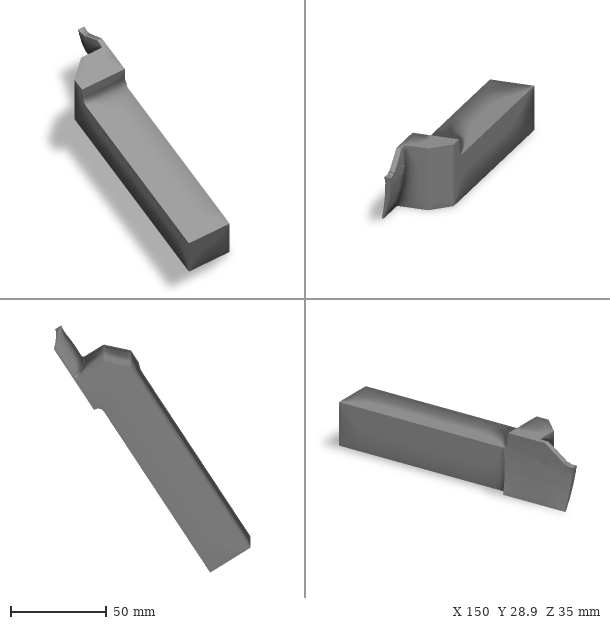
import cadquery as cq
import math

LENGTH = 150.0
HEAD_HEIGHT = 35.0
SHANK_SIDE = 25.0
CUTTING_HEIGHT = SHANK_SIDE

SHOULDER_X = 23.0
CORNER_CHAMFER = 10.4
HEAD_TOP_END_X = 41.1
HEAD_BASE_END_X = 42.6
HEAD_ROOT_RADIUS = 3.8
HEAD_FOOT_END_X = HEAD_BASE_END_X + HEAD_ROOT_RADIUS

BLADE_FRONT_Y = 22.6
BLADE_BACK_Y = 25.8
BLADE_FRONT_RADIUS = 62.4
BLADE_BACK_RADIUS = 101.1
BLADE_ROOT_RADIUS = 1.0
BLADE_BOTTOM_X = 3.3
BLADE_SEAT_X = 0.6
CLAMP_NOSE_X = 6.0
CLAMP_NOSE_Z = 26.1
CLAMP_TOP_X = 17.7

INSERT_BOTTOM_Z = 20.8
INSERT_TOP_END_X = 20.0
INSERT_BOTTOM_END_X = 19.2
INSERT_WAIST_Z = 25.8
EDGE_LAND = 3.5
EDGE_RAMP = 0.9
TIP_LENGTH = 3.9
TIP_OVERHANG = 0.5
TIP_BOTTOM_Z = 22.0


def arc_y(face_y, radius, z):
    """Y of a blade face at height z."""
    return face_y + radius - math.sqrt(radius ** 2 - (z - CUTTING_HEIGHT) ** 2)


def arc_point(face_y, radius, z):
    return (arc_y(face_y, radius, z), z)


def front_point(z):
    return arc_point(BLADE_FRONT_Y, BLADE_FRONT_RADIUS, z)


def back_point(z):
    return arc_point(BLADE_BACK_Y, BLADE_BACK_RADIUS, z)


def make_shank():
    start_x = HEAD_TOP_END_X
    shank = cq.Workplane("XY").box(LENGTH - start_x, SHANK_SIDE, SHANK_SIDE, centered=False)
    return shank.translate((start_x, 0, 0))


def make_head():
    """Chamfered block with a concave back, rounded into the shank above and behind."""
    section = (
        cq.Workplane("YZ")
        .moveTo(0, 0)
        .lineTo(*back_point(0))
        .threePointArc(back_point(HEAD_HEIGHT / 2), back_point(HEAD_HEIGHT))
        .lineTo(0, HEAD_HEIGHT)
        .close()
        .extrude(HEAD_FOOT_END_X)
    )
    side_outline = (
        cq.Workplane("XZ")
        .polyline([
            (SHOULDER_X, 0),
            (HEAD_FOOT_END_X, 0),
            (HEAD_FOOT_END_X, SHANK_SIDE),
            (HEAD_BASE_END_X, SHANK_SIDE),
            (HEAD_TOP_END_X, HEAD_HEIGHT),
            (SHOULDER_X, HEAD_HEIGHT),
        ])
        .close()
        .extrude(-LENGTH)
    )
    inner_corner = cq.selectors.NearestToPointSelector((HEAD_BASE_END_X, LENGTH / 2, SHANK_SIDE))
    side_outline = side_outline.edges("|Y").edges(inner_corner).fillet(HEAD_ROOT_RADIUS)
    plan_outline = (
        cq.Workplane("XY")
        .moveTo(SHOULDER_X + CORNER_CHAMFER, 0)
        .lineTo(HEAD_FOOT_END_X, 0)
        .lineTo(HEAD_FOOT_END_X, SHANK_SIDE)
        .radiusArc((HEAD_BASE_END_X, SHANK_SIDE + HEAD_ROOT_RADIUS), HEAD_ROOT_RADIUS)
        .lineTo(HEAD_BASE_END_X, LENGTH)
        .lineTo(SHOULDER_X, LENGTH)
        .lineTo(SHOULDER_X, CORNER_CHAMFER)
        .close()
        .extrude(HEAD_HEIGHT)
    )
    return section.intersect(side_outline).intersect(plan_outline)


def make_blade():
    """Thin curved blade, sloped at its front end and above the insert."""
    section = (
        cq.Workplane("YZ")
        .moveTo(*front_point(0))
        .lineTo(*back_point(0))
        .threePointArc(back_point(HEAD_HEIGHT / 2), back_point(HEAD_HEIGHT))
        .lineTo(*front_point(HEAD_HEIGHT))
        .threePointArc(front_point(HEAD_HEIGHT / 2), front_point(0))
        .close()
        .extrude(SHOULDER_X)
    )
    side_outline = (
        cq.Workplane("XZ")
        .polyline([
            (BLADE_BOTTOM_X, 0),
            (SHOULDER_X, 0),
            (SHOULDER_X, HEAD_HEIGHT),
            (CLAMP_TOP_X, HEAD_HEIGHT),
            (CLAMP_NOSE_X, CLAMP_NOSE_Z),
            (CLAMP_NOSE_X, INSERT_BOTTOM_Z),
            (BLADE_SEAT_X, INSERT_BOTTOM_Z),
        ])
        .close()
        .extrude(-LENGTH)
    )
    return section.intersect(side_outline)


def round_blade_root(body):
    """Round the front of the blade into the shoulder."""
    margin = 0.2
    blade_root = cq.selectors.BoxSelector(
        (SHOULDER_X - margin, BLADE_FRONT_Y - margin, -margin),
        (SHOULDER_X + margin, BLADE_BACK_Y, HEAD_HEIGHT + margin),
    )
    return body.edges(blade_root).fillet(BLADE_ROOT_RADIUS)


def make_insert_waist():
    waist_start = EDGE_LAND + EDGE_RAMP
    return (
        cq.Workplane("XZ", origin=(0, BLADE_FRONT_Y, 0))
        .polyline([
            (0, CUTTING_HEIGHT),
            (EDGE_LAND, CUTTING_HEIGHT),
            (waist_start, INSERT_WAIST_Z),
            (INSERT_TOP_END_X - waist_start, INSERT_WAIST_Z),
            (INSERT_TOP_END_X - EDGE_LAND, CUTTING_HEIGHT),
            (INSERT_TOP_END_X, CUTTING_HEIGHT),
            (INSERT_BOTTOM_END_X, INSERT_BOTTOM_Z),
            (BLADE_SEAT_X, INSERT_BOTTOM_Z),
        ])
        .close()
        .extrude(BLADE_FRONT_Y - BLADE_BACK_Y)
    )


def make_insert_tip(edge_x, inward):
    """Tip wider than the waist along its edge, tapering to waist width below and behind."""
    middle_y = (BLADE_FRONT_Y + BLADE_BACK_Y) / 2
    waist_half = (BLADE_BACK_Y - BLADE_FRONT_Y) / 2
    edge_half = waist_half + TIP_OVERHANG
    back_x = edge_x + inward * TIP_LENGTH
    lower_edge_x = edge_x + inward * BLADE_SEAT_X

    def corner_outline(front_x, front_half):
        return [
            (front_x, middle_y - front_half),
            (back_x, middle_y - waist_half),
            (back_x, middle_y + waist_half),
            (front_x, middle_y + front_half),
        ]

    return (
        cq.Workplane("XY", origin=(0, 0, TIP_BOTTOM_Z))
        .polyline(corner_outline(lower_edge_x, waist_half))
        .close()
        .workplane(offset=CUTTING_HEIGHT - TIP_BOTTOM_Z)
        .polyline(corner_outline(edge_x, edge_half))
        .close()
        .loft(ruled=True)
    )


def make_insert():
    insert = make_insert_waist()
    for edge_x, inward in [(0, 1), (INSERT_TOP_END_X, -1)]:
        insert = insert.union(make_insert_tip(edge_x, inward))
    return insert


def make_rear_clearance():
    """Clearance behind the insert's raised waist, blind at the middle of the blade."""
    return (
        cq.Workplane("XZ")
        .polyline([
            (INSERT_TOP_END_X - EDGE_LAND - EDGE_RAMP, INSERT_WAIST_Z),
            (INSERT_TOP_END_X, INSERT_WAIST_Z),
            (INSERT_TOP_END_X, CUTTING_HEIGHT),
            (INSERT_TOP_END_X - EDGE_LAND, CUTTING_HEIGHT),
        ])
        .close()
        .extrude(-(BLADE_FRONT_Y + BLADE_BACK_Y) / 2)
    )


def make_holder(insert):
    holder = make_shank().union(make_head()).union(make_blade())
    return round_blade_root(holder).cut(make_rear_clearance()).cut(insert)


insert = make_insert()
holder = make_holder(insert)
result = cq.Compound.makeCompound([holder.val(), insert.val()])